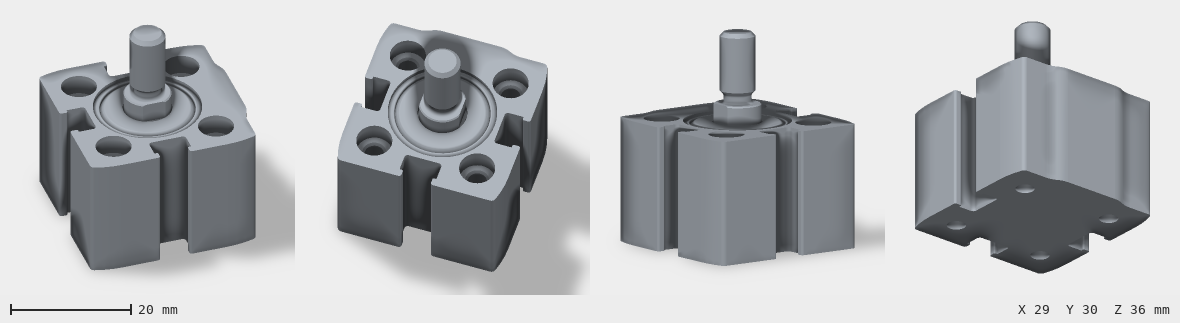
import cadquery as cq
import math


width = 29.0
half_width = width / 2
housing_height = 21.0
back_bump_y = 15.48
bump_flat_half = 5.05
bump_foot_half = 8.93
side_flat_half = 9.2
side_arc_radius = 16.0
corner_radius = 0.8

slot_mouth = 5.2
slot_width = 6.45
slot_floor = 10.0
lip_thickness = 1.35
slot_floor_radius = 0.6
lip_outer_radius = 0.45
lip_inner_radius = 0.25

bolt_spacing = 18.0
bolt_hole_diameter = 3.25
countersink_diameter = 4.0
counterbore_diameter = 6.0
counterbore_depth = 3.5

recess_radius = 18.2 / 2
ridge_slope = math.radians(30)
ridge_rounding = 0.2
ridge_depth = 0.32
bore_radius = 16.0 / 2
cap_radius = 7.05
cap_slope = math.radians(40)
cap_rounding = 0.4
cap_depth = 0.18
cap_rim_radius = 7.9
groove_depth = 1.0

total_height = 36.0
rod_radius = 8.0 / 2
rod_flats = 7.0
rod_insertion = 10.0
shoulder_height = 3.0
shoulder_chamfer = 0.2
neck_radius = 4.7 / 2
neck_fillet = 0.4
thread_radius = 6.0 / 2
thread_length = 9.9
flat_end_slope = math.radians(30)
flat_end_depth = 0.4
rod_clearance_radius = 4.15
rod_clearance_depth = 1.5


def housing_outline():
    """Closed outline of the housing, before the slots are cut."""
    arc_center_x = half_width - side_arc_radius
    edge_rise = half_width - side_flat_half
    edge_angle = math.asin(edge_rise / side_arc_radius)
    edge_x = arc_center_x + side_arc_radius * math.cos(edge_angle)
    arc_mid_x = arc_center_x + side_arc_radius * math.cos(edge_angle / 2)
    arc_mid_y = side_flat_half + side_arc_radius * math.sin(edge_angle / 2)
    bump_mid_x = (bump_flat_half + bump_foot_half) / 2
    bump_mid_y = (half_width + back_bump_y) / 2

    return (
        cq.Workplane("XY")
        .moveTo(-edge_x, -half_width)
        .lineTo(edge_x, -half_width)
        .threePointArc((arc_mid_x, -arc_mid_y), (half_width, -side_flat_half))
        .lineTo(half_width, side_flat_half)
        .threePointArc((arc_mid_x, arc_mid_y), (edge_x, half_width))
        .lineTo(bump_foot_half, half_width)
        .tangentArcPoint((bump_mid_x, bump_mid_y), relative=False)
        .tangentArcPoint((bump_flat_half, back_bump_y), relative=False)
        .lineTo(-bump_flat_half, back_bump_y)
        .tangentArcPoint((-bump_mid_x, bump_mid_y), relative=False)
        .tangentArcPoint((-bump_foot_half, half_width), relative=False)
        .lineTo(-edge_x, half_width)
        .threePointArc((-arc_mid_x, arc_mid_y), (-half_width, side_flat_half))
        .lineTo(-half_width, -side_flat_half)
        .threePointArc((-arc_mid_x, -arc_mid_y), (-edge_x, -half_width))
        .close()
    )


def housing_block():
    """Extruded outline with its four outer upright corners rounded."""
    block = housing_outline().extrude(housing_height)
    corner_search_x = (bump_foot_half + half_width) / 2
    band = corner_radius / 2
    for side_x in (-1, 1):
        for side_y in (-1, 1):
            inner = (side_x * corner_search_x, side_y * (half_width - band), 0)
            outer = (side_x * half_width, side_y * (half_width + band), housing_height)
            corner = cq.selectors.BoxSelector(inner, outer)
            block = block.edges("|Z").edges(corner).fillet(corner_radius)
    return block


def slot_cutter(angle):
    """T-slot along Z that opens toward -Y, turned about Z by the angle in degrees."""
    mouth = slot_mouth / 2
    inside = slot_width / 2
    lip_y = -half_width + lip_thickness
    profile = (
        cq.Workplane("XY")
        .moveTo(-mouth - lip_outer_radius, -half_width)
        .radiusArc((-mouth, -half_width + lip_outer_radius), -lip_outer_radius)
        .lineTo(-mouth, lip_y - lip_inner_radius)
        .radiusArc((-mouth - lip_inner_radius, lip_y), -lip_inner_radius)
        .lineTo(-inside, lip_y)
        .lineTo(-inside, -slot_floor - slot_floor_radius)
        .radiusArc((-inside + slot_floor_radius, -slot_floor), slot_floor_radius)
        .lineTo(inside - slot_floor_radius, -slot_floor)
        .radiusArc((inside, -slot_floor - slot_floor_radius), slot_floor_radius)
        .lineTo(inside, lip_y)
        .lineTo(mouth + lip_inner_radius, lip_y)
        .radiusArc((mouth, lip_y - lip_inner_radius), -lip_inner_radius)
        .lineTo(mouth, -half_width + lip_outer_radius)
        .radiusArc((mouth + lip_outer_radius, -half_width), -lip_outer_radius)
        .close()
    )
    return profile.extrude(housing_height).rotate((0, 0, 0), (0, 0, 1), angle)


def bolt_hole_cutter():
    """Through hole with a countersink at the floor of its counterbore, on the Z axis."""
    floor_z = housing_height - counterbore_depth
    hole = bolt_hole_diameter / 2
    sink = countersink_diameter / 2
    bore = counterbore_diameter / 2
    return (
        cq.Workplane("XZ")
        .polyline([
            (0, 0),
            (hole, 0),
            (hole, floor_z - (sink - hole)),
            (sink, floor_z),
            (bore, floor_z),
            (bore, housing_height),
            (0, housing_height),
        ])
        .close()
        .revolve(360, (0, 0, 0), (0, 1, 0))
    )


def ring_groove_cutter():
    """Revolved space above the rounded ridge and the end cap, with the groove between them."""
    top = housing_height
    ridge_center_r = bore_radius + ridge_rounding
    ridge_center_z = top - ridge_depth - ridge_rounding
    flank_r = ridge_center_r + ridge_rounding * math.sin(ridge_slope)
    flank_z = ridge_center_z + ridge_rounding * math.cos(ridge_slope)
    recess_z = flank_z - (recess_radius - flank_r) * math.tan(ridge_slope)
    cap_z = top - cap_depth
    cap_edge_r = cap_radius + cap_rounding * math.sin(cap_slope)
    cap_edge_z = cap_z - cap_rounding * (1 - math.cos(cap_slope))
    cap_rim_z = cap_edge_z - (cap_rim_radius - cap_edge_r) * math.tan(cap_slope)
    groove_z = top - groove_depth
    return (
        cq.Workplane("XZ")
        .moveTo(0, top)
        .lineTo(recess_radius, top)
        .lineTo(recess_radius, recess_z)
        .lineTo(flank_r, flank_z)
        .radiusArc((bore_radius, ridge_center_z), -ridge_rounding)
        .lineTo(bore_radius, groove_z)
        .lineTo(cap_rim_radius, groove_z)
        .lineTo(cap_rim_radius, cap_rim_z)
        .lineTo(cap_edge_r, cap_edge_z)
        .radiusArc((cap_radius, cap_z), -cap_rounding)
        .lineTo(0, cap_z)
        .close()
        .revolve(360, (0, 0, 0), (0, 1, 0))
    )


def rod_hole_cutter():
    """Blind hole that fits the rod, with a wider clearance at its mouth."""
    guide = (
        cq.Workplane("XY")
        .workplane(offset=housing_height - rod_insertion)
        .circle(rod_radius)
        .extrude(rod_insertion)
    )
    clearance = (
        cq.Workplane("XY")
        .workplane(offset=housing_height - rod_clearance_depth)
        .circle(rod_clearance_radius)
        .extrude(rod_clearance_depth)
    )
    return guide.union(clearance)


def make_housing():
    housing = housing_block()
    for angle in (0, 90, -90):
        housing = housing.cut(slot_cutter(angle))
    for side_x in (-1, 1):
        for side_y in (-1, 1):
            offset = (side_x * bolt_spacing / 2, side_y * bolt_spacing / 2, 0)
            housing = housing.cut(bolt_hole_cutter().translate(offset))
    return housing.cut(ring_groove_cutter()).cut(rod_hole_cutter())


def flat_cutter(side):
    """Removes one wrench flat; its lower end slopes out to the round of the rod."""
    flat_x = rod_flats / 2
    flat_drop = (rod_radius - flat_x) * math.tan(flat_end_slope)
    flat_end = housing_height - flat_end_depth
    shoulder_top = housing_height + shoulder_height
    return (
        cq.Workplane("XZ")
        .polyline([
            (side * flat_x, shoulder_top),
            (side * flat_x, flat_end),
            (side * rod_radius, flat_end - flat_drop),
            (side * rod_radius, shoulder_top),
        ])
        .close()
        .extrude(rod_radius, both=True)
    )


def make_rod():
    shoulder_top = housing_height + shoulder_height
    thread_bottom = total_height - thread_length
    thread_chamfer = thread_radius - neck_radius
    fillet_inset = neck_fillet * (1 - math.cos(math.radians(45)))
    fillet_rise = neck_fillet * math.sin(math.radians(45))
    taper_end_r = neck_radius + fillet_inset
    taper_end_z = thread_bottom - (thread_radius - taper_end_r)
    rod = (
        cq.Workplane("XZ")
        .moveTo(0, housing_height - rod_insertion)
        .lineTo(rod_radius, housing_height - rod_insertion)
        .lineTo(rod_radius, shoulder_top - shoulder_chamfer)
        .lineTo(rod_radius - shoulder_chamfer, shoulder_top)
        .lineTo(neck_radius + neck_fillet, shoulder_top)
        .radiusArc((neck_radius, shoulder_top + neck_fillet), neck_fillet)
        .lineTo(neck_radius, taper_end_z - fillet_rise)
        .radiusArc((taper_end_r, taper_end_z), neck_fillet)
        .lineTo(thread_radius, thread_bottom)
        .lineTo(thread_radius, total_height - thread_chamfer)
        .lineTo(neck_radius, total_height)
        .lineTo(0, total_height)
        .close()
        .revolve(360, (0, 0, 0), (0, 1, 0))
    )
    for side in (-1, 1):
        rod = rod.cut(flat_cutter(side))
    return rod


housing = make_housing()
piston_rod = make_rod()

result = cq.Compound.makeCompound([housing.val(), piston_rod.val()])